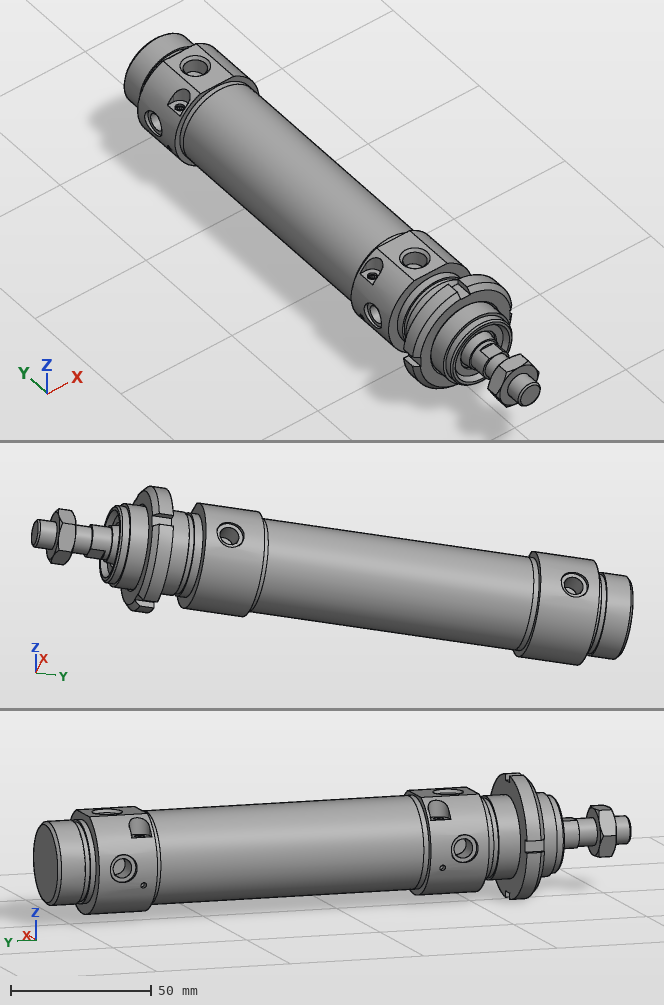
import cadquery as cq
import math

overall_length = 218.0

barrel_diameter = 33.5
cap_diameter = 38.0
cap_length = 21.8
cap_flat_height = 17.5
collar_length = 2.0
neck_diameter = 30.0
rear_neck_length = 14.0
front_cap_start = 58.0
rear_cap_end = overall_length - rear_neck_length

groove_diameter = 28.5
groove_width = 2.0
rear_groove_offset = 2.0
front_groove_offset = 3.0

rear_chamfer = 1.0
front_face = 28.0
front_step_diameter = 28.0
front_step_length = 3.3
front_step_chamfer = 0.7
recess_mouth_diameter = 24.5
recess_floor_diameter = 22.0
recess_depth = 2.2
wiper_groove_diameter = 16.1
wiper_groove_depth = 1.0
wiper_base_diameter = 14.4
wiper_tip_diameter = 13.0
wiper_projection = 0.9

port_offset = 9.2
port_diameter = 8.7
port_mouth_diameter = 11.0
port_floor_diameter = 22.0
pivot_diameter = 7.0
pivot_mouth_diameter = 10.0
pivot_seat = 17.5
pivot_floor = 9.8
screw_offset = 17.0
screw_x = -13.0
screw_pocket_width = 7.5
screw_pocket_floor = 10.5
bleed_diameter = 2.0
bleed_z = -6.5
bleed_floor = 15.3

screw_diameter = 3.5
screw_length = 5.5
screw_sink = 0.5
screw_chamfer = 0.5
socket_diameter = 1.8
socket_depth = 1.3

rod_diameter = 11.8
rod_thread_diameter = 10.0
rod_thread_length = 19.8
rod_tip_chamfer = 0.7
wrench_flat_width = 10.0
wrench_flat_length = 5.5

rod_nut_start = 6.8
rod_nut_thickness = 6.0
rod_nut_width = 17.0

nut_start = 37.7
nut_thickness = 7.2
nut_diameter = 45.0
nut_face_diameter = 41.0
nut_chamfer_length = 2.0
nut_bore_chamfer = 0.7
nut_slot_width = 4.4
nut_slot_floor = 20.0


def cylinder_along_y(diameter, start, end):
    return (
        cq.Workplane("XZ", origin=(0, start, 0))
        .circle(diameter / 2)
        .extrude(start - end)
    )


def cone_along_y(start_diameter, end_diameter, start, end):
    profile = [(0, start), (start_diameter / 2, start), (end_diameter / 2, end), (0, end)]
    return revolve_about_y(profile)


def revolve_about_y(profile):
    return cq.Workplane("XY").polyline(profile).close().revolve(360, (0, 0, 0), (0, 1, 0))


def cylinder_along_z(diameter, x, y, bottom, top):
    return (
        cq.Workplane("XY", origin=(x, y, bottom))
        .circle(diameter / 2)
        .extrude(top - bottom)
    )


def port(y):
    """Port in the top flat, with a chamfered mouth and a rounded floor."""
    mouth_chamfer = (port_mouth_diameter - port_diameter) / 2
    bore = cylinder_along_z(port_diameter, 0, y, 0, cap_flat_height)
    mouth = (
        cq.Workplane("XY", origin=(0, y, cap_flat_height))
        .circle(port_mouth_diameter / 2)
        .extrude(-mouth_chamfer, taper=45)
    )
    core = cylinder_along_y(port_floor_diameter, y - port_diameter, y + port_diameter)
    return bore.union(mouth).cut(core)


def pivot_hole(y, side):
    """Counterbored blind hole in one side (side is -1 or 1) of a cap."""
    def bore(diameter, floor):
        plane = cq.Plane(origin=(side * floor, y, 0), xDir=(0, 1, 0), normal=(side, 0, 0))
        return cq.Workplane(plane).circle(diameter / 2).extrude(cap_diameter / 2 - floor)

    return bore(pivot_mouth_diameter, pivot_seat).union(bore(pivot_diameter, pivot_floor))


def screw_seat(y):
    """Round-ended pocket, open to the side, and the hole in its floor for the cushion screw."""
    screw_bottom = screw_pocket_floor - screw_sink - screw_length
    pocket_top = cap_diameter / 2
    pocket = cylinder_along_z(screw_pocket_width, screw_x, y, screw_pocket_floor, pocket_top)
    opening = (
        cq.Workplane("XZ", origin=(0, y + screw_pocket_width / 2, 0))
        .moveTo(screw_x, screw_pocket_floor)
        .lineTo(-cap_diameter / 2, screw_pocket_floor)
        .lineTo(-cap_diameter / 2, pocket_top)
        .lineTo(screw_x, pocket_top)
        .close()
        .extrude(screw_pocket_width)
    )
    hole = cylinder_along_z(screw_diameter, screw_x, y, screw_bottom, screw_pocket_floor)
    return pocket.union(opening).union(hole)


def bleed_hole(y):
    return (
        cq.Workplane("YZ", origin=(-bleed_floor, y, bleed_z))
        .circle(bleed_diameter / 2)
        .extrude(bleed_floor - cap_diameter / 2)
    )


def cap_block(start, port_y, screw_y):
    """The large-diameter middle of a cap with its flat, port, side holes and screw seat."""
    flat_cut = cq.Workplane("XY").box(
        cap_diameter, cap_length, cap_diameter, centered=(True, False, False)
    )
    block = cylinder_along_y(cap_diameter, start, start + cap_length)
    block = block.cut(flat_cut.translate((0, start, cap_flat_height)))
    block = block.cut(port(port_y)).cut(screw_seat(screw_y)).cut(bleed_hole(screw_y))
    for side in (-1, 1):
        block = block.cut(pivot_hole(port_y, side))
    return block


def neck_groove(start):
    blank = cylinder_along_y(neck_diameter + 2.2, start, start + groove_width)
    return blank.cut(cylinder_along_y(groove_diameter, start, start + groove_width))


def make_barrel():
    return cylinder_along_y(barrel_diameter, barrel_start, barrel_end)


def make_front_cap():
    step_radius = front_step_diameter / 2
    recess_floor = front_face + recess_depth
    groove_floor = recess_floor + wiper_groove_depth
    wiper_tip = front_face - wiper_projection
    neck = revolve_about_y([
        (0, wiper_tip),
        (wiper_tip_diameter / 2, wiper_tip),
        (wiper_base_diameter / 2, groove_floor),
        (wiper_groove_diameter / 2, groove_floor),
        (wiper_groove_diameter / 2, recess_floor),
        (recess_floor_diameter / 2, recess_floor),
        (recess_mouth_diameter / 2, front_face),
        (step_radius - front_step_chamfer, front_face),
        (step_radius, front_face + front_step_chamfer),
        (step_radius, front_face + front_step_length),
        (neck_diameter / 2, front_face + front_step_length),
        (neck_diameter / 2, front_cap_start),
        (0, front_cap_start),
    ])
    neck = neck.cut(neck_groove(front_cap_start - front_groove_offset - groove_width))
    block = cap_block(front_cap_start, front_port_y, front_screw_y)
    collar = cylinder_along_y(barrel_diameter, front_cap_start + cap_length, barrel_start)
    rod_bore = cylinder_along_y(rod_diameter, 0, barrel_start)
    return block.union(neck).union(collar).cut(rod_bore)


def make_rear_cap():
    start = rear_cap_end - cap_length
    neck = cylinder_along_y(neck_diameter, rear_cap_end, overall_length)
    neck = neck.faces(">Y").chamfer(rear_chamfer)
    neck = neck.cut(neck_groove(rear_cap_end + rear_groove_offset))
    block = cap_block(start, rear_port_y, rear_screw_y)
    collar = cylinder_along_y(barrel_diameter, barrel_end, start)
    return block.union(neck).union(collar)


def make_rod():
    thread = cylinder_along_y(rod_thread_diameter, 0, rod_thread_length)
    thread = thread.faces("<Y").chamfer(rod_tip_chamfer)
    shank = cylinder_along_y(rod_diameter, rod_thread_length, barrel_start)
    flats = cq.Workplane("XY").box(
        rod_diameter, wrench_flat_length, rod_diameter, centered=(True, False, False)
    )
    for height in (wrench_flat_width / 2, -wrench_flat_width / 2 - rod_diameter):
        shank = shank.cut(flats.translate((0, rod_thread_length, height)))
    return thread.union(shank)


def make_rod_nut():
    """Hexagon nut with two flats facing up and down and rounded-off corners."""
    end = rod_nut_start + rod_nut_thickness
    corner_diameter = rod_nut_width / math.cos(math.pi / 6)
    corner_chamfer = (corner_diameter - rod_nut_width) / 2
    nut = (
        cq.Workplane("XZ", origin=(0, rod_nut_start, 0))
        .polygon(6, corner_diameter)
        .extrude(-rod_nut_thickness)
    )
    bevel = corner_chamfer * math.tan(math.pi / 6)
    envelope = revolve_about_y([
        (0, rod_nut_start),
        (rod_nut_width / 2, rod_nut_start),
        (corner_diameter / 2, rod_nut_start + bevel),
        (corner_diameter / 2, end - bevel),
        (rod_nut_width / 2, end),
        (0, end),
    ])
    return nut.intersect(envelope).cut(cylinder_along_y(rod_thread_diameter, rod_nut_start, end))


def make_mounting_nut():
    """Round nut with four slots and a bevelled front edge."""
    end = nut_start + nut_thickness
    nut = cone_along_y(nut_face_diameter, nut_diameter, nut_start, nut_start + nut_chamfer_length)
    nut = nut.union(cylinder_along_y(nut_diameter, nut_start + nut_chamfer_length, end))
    slot = cq.Workplane("XY").box(
        nut_slot_width, nut_thickness, nut_diameter, centered=(True, False, False)
    )
    slot = slot.translate((0, nut_start, nut_slot_floor))
    for angle in (0, 90, 180, 270):
        nut = nut.cut(slot.rotate((0, 0, 0), (0, 1, 0), angle))
    bore_mouth = cone_along_y(
        neck_diameter + 2 * nut_bore_chamfer, neck_diameter, nut_start, nut_start + nut_bore_chamfer
    )
    return nut.cut(cylinder_along_y(neck_diameter, nut_start, end)).cut(bore_mouth)


def make_cushion_screw(y):
    top = screw_pocket_floor - screw_sink
    socket = (
        cq.Workplane("XY", origin=(screw_x, y, top))
        .polygon(6, socket_diameter)
        .extrude(-socket_depth)
    )
    screw = cylinder_along_z(screw_diameter, screw_x, y, top - screw_length, top)
    return screw.faces(">Z").chamfer(screw_chamfer).cut(socket)


barrel_start = front_cap_start + cap_length + collar_length
barrel_end = rear_cap_end - cap_length - collar_length
front_port_y = front_cap_start + port_offset
front_screw_y = front_cap_start + screw_offset
rear_port_y = rear_cap_end - port_offset
rear_screw_y = rear_cap_end - screw_offset

barrel = make_barrel()
front_cap = make_front_cap()
rear_cap = make_rear_cap()
rod = make_rod()
rod_nut = make_rod_nut()
mounting_nut = make_mounting_nut()
cushion_screws = [make_cushion_screw(y).val() for y in (front_screw_y, rear_screw_y)]

result = cq.Compound.makeCompound([
    barrel.val(),
    front_cap.val(),
    rear_cap.val(),
    rod.val(),
    rod_nut.val(),
    mounting_nut.val(),
    *cushion_screws,
])